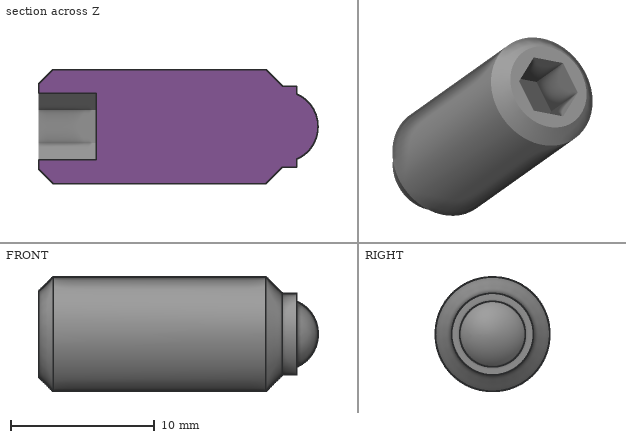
import cadquery as cq
import math

body_radius = 4.0
socket_end_chamfer = 1.0
neck_radius = 2.85
neck_start = 17.0
neck_end = 18.0
overall_length = 19.5
ball_radius = 2.5
socket_across_flats = 4.0
socket_depth = 4.0

nose_chamfer = body_radius - neck_radius
nose_start = neck_start - nose_chamfer
ball_center = overall_length - ball_radius
cap_base_radius = math.sqrt(ball_radius**2 - (neck_end - ball_center) ** 2)
socket_across_corners = socket_across_flats / math.cos(math.pi / 6)


def make_body():
    """Turned body: chamfered cylinder, 45 degree nose, short neck and ball cap."""
    half_profile = (
        cq.Workplane("XY")
        .moveTo(0, 0)
        .lineTo(0, -(body_radius - socket_end_chamfer))
        .lineTo(socket_end_chamfer, -body_radius)
        .lineTo(nose_start, -body_radius)
        .lineTo(neck_start, -neck_radius)
        .lineTo(neck_end, -neck_radius)
        .lineTo(neck_end, -cap_base_radius)
        .radiusArc((overall_length, 0), -ball_radius)
        .close()
    )
    return half_profile.revolve(360, (0, 0, 0), (1, 0, 0))


def make_socket():
    """Hexagon socket cutter with two corners on the Y axis."""
    return cq.Workplane("YZ").polygon(6, socket_across_corners).extrude(socket_depth)


result = make_body().cut(make_socket())